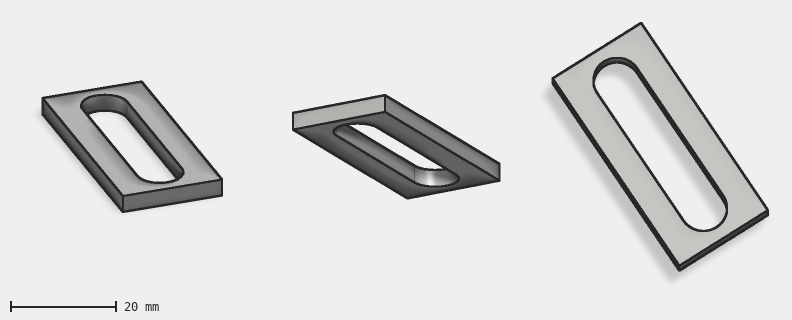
import cadquery as cq

plate_length = 44.0
plate_width = 20.0
plate_thickness = 3.4

slot_length = 38.9
slot_width = 8.98

plate = cq.Workplane("XY").box(plate_length, plate_width, plate_thickness)

result = plate.faces(">Z").workplane().slot2D(slot_length, slot_width).cutThruAll()